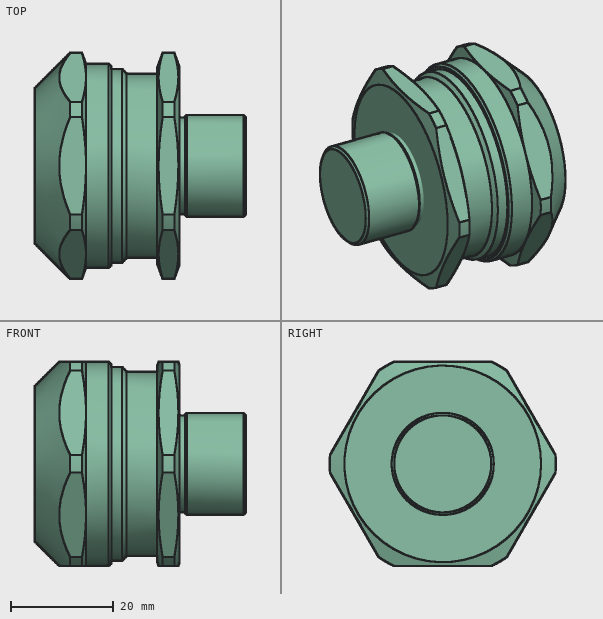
import cadquery as cq
import math


ACROSS_FLATS = 40.0
CORNER_DIAMETER = 44.32
CHAMFER_ANGLE = 20.0

RIM_DIAMETER = 30.4
RECESS_DIAMETER = 28.3
RECESS_DEPTH = 1.1
FRONT_CONE_ANGLE = 45.0
HEX_END_X = 10.05

COLLAR_DIAMETER = 40.0
COLLAR_END_X = 15.0
COLLAR_CHAMFER = 0.5
STEP_DIAMETER = 38.0
STEP_END_X = 17.95
BARREL_DIAMETER = 36.1

NUT_START_X = 24.0
NUT_END_X = 28.4
NUT_FACE_DIAMETER = 38.5

NECK_DIAMETER = 19.0
SPIGOT_DIAMETER = 20.0
SPIGOT_START_X = 29.4
SPIGOT_CHAMFER = 0.5
TOTAL_LENGTH = 41.35

CORNER_FILLET = 0.1

corner_radius = CORNER_DIAMETER / 2


def chamfer_length(inner_radius, outer_radius):
    """Axial length of the shallow hexagon chamfer between two radii."""
    return (outer_radius - inner_radius) * math.tan(math.radians(CHAMFER_ANGLE))


def revolve_profile(profile):
    """Turn a profile of (x, radius) points, closed along the axis, about X."""
    start_x = profile[0][0]
    end_x = profile[-1][0]
    outline = [(start_x, 0), *profile, (end_x, 0)]
    return cq.Workplane("XY").polyline(outline).close().revolve(360, (0, 0, 0), (1, 0, 0))


def hexagon(start_x, end_x):
    """Hexagonal bar along X with two flats facing +Z and -Z."""
    across_corners = ACROSS_FLATS / math.cos(math.pi / 6)
    return (
        cq.Workplane("YZ")
        .workplane(offset=start_x)
        .polygon(6, across_corners)
        .extrude(end_x - start_x)
    )


def coupling_hexagon():
    """Front hexagon: a steep cone in front and a shallow chamfer behind."""
    rim_radius = RIM_DIAMETER / 2
    cone_length = (corner_radius - rim_radius) / math.tan(math.radians(FRONT_CONE_ANGLE))
    back_radius = COLLAR_DIAMETER / 2
    back_chamfer = chamfer_length(back_radius, corner_radius)
    envelope = revolve_profile([
        (0, rim_radius),
        (cone_length, corner_radius),
        (HEX_END_X - back_chamfer, corner_radius),
        (HEX_END_X, back_radius),
    ])
    return hexagon(0, HEX_END_X).intersect(envelope)


def nut():
    """Hexagon with the same shallow chamfer on both ends."""
    face_radius = NUT_FACE_DIAMETER / 2
    chamfer = chamfer_length(face_radius, corner_radius)
    envelope = revolve_profile([
        (NUT_START_X, face_radius),
        (NUT_START_X + chamfer, corner_radius),
        (NUT_END_X - chamfer, corner_radius),
        (NUT_END_X, face_radius),
    ])
    return hexagon(NUT_START_X, NUT_END_X).intersect(envelope)


def collars():
    """Large collar, smaller step and the barrel that runs up to the nut."""
    collar_radius = COLLAR_DIAMETER / 2
    step_radius = STEP_DIAMETER / 2
    barrel_radius = BARREL_DIAMETER / 2
    shoulder_radius = barrel_radius + CORNER_FILLET
    step_chamfer = step_radius - shoulder_radius
    return revolve_profile([
        (HEX_END_X, collar_radius),
        (COLLAR_END_X - COLLAR_CHAMFER, collar_radius),
        (COLLAR_END_X, collar_radius - COLLAR_CHAMFER),
        (COLLAR_END_X, step_radius),
        (STEP_END_X - step_chamfer, step_radius),
        (STEP_END_X, shoulder_radius),
        (STEP_END_X, barrel_radius),
        (NUT_START_X, barrel_radius),
    ])


def spigot():
    """Neck behind the nut and the chamfered spigot at the +X end."""
    neck_radius = NECK_DIAMETER / 2
    spigot_radius = SPIGOT_DIAMETER / 2
    shoulder_radius = neck_radius + CORNER_FILLET
    front_chamfer = spigot_radius - shoulder_radius
    return revolve_profile([
        (NUT_END_X, neck_radius),
        (SPIGOT_START_X, neck_radius),
        (SPIGOT_START_X, shoulder_radius),
        (SPIGOT_START_X + front_chamfer, spigot_radius),
        (TOTAL_LENGTH - SPIGOT_CHAMFER, spigot_radius),
        (TOTAL_LENGTH, spigot_radius - SPIGOT_CHAMFER),
    ])


def corner_fillet(corner_x, radius, direction):
    """Concave fillet ring where a cylinder meets a wall; direction (+1 or -1) points along X off the wall."""
    tangent_x = corner_x + direction * CORNER_FILLET
    tangent_radius = radius + CORNER_FILLET
    arc_offset = CORNER_FILLET * (1 - math.sqrt(0.5))
    arc_middle = (corner_x + direction * arc_offset, radius + arc_offset)
    return (
        cq.Workplane("XY")
        .moveTo(corner_x, radius)
        .lineTo(tangent_x, radius)
        .threePointArc(arc_middle, (corner_x, tangent_radius))
        .close()
        .revolve(360, (0, 0, 0), (1, 0, 0))
    )


def front_recess():
    """Shallow round recess in the front face."""
    return cq.Workplane("YZ").circle(RECESS_DIAMETER / 2).extrude(RECESS_DEPTH)


result = coupling_hexagon().union(collars()).union(nut()).union(spigot())

for groove_diameter, groove_start_x, groove_end_x in (
    (BARREL_DIAMETER, STEP_END_X, NUT_START_X),
    (NECK_DIAMETER, NUT_END_X, SPIGOT_START_X),
):
    groove_radius = groove_diameter / 2
    result = result.union(corner_fillet(groove_start_x, groove_radius, 1))
    result = result.union(corner_fillet(groove_end_x, groove_radius, -1))

result = result.cut(front_recess())